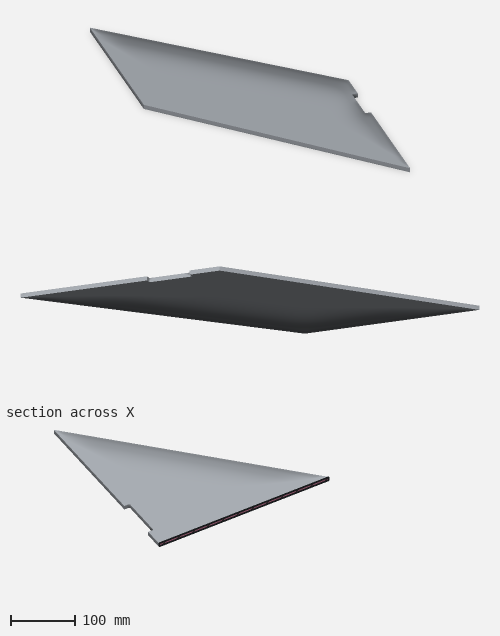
import cadquery as cq

LENGTH = 633.95
DEPTH = 330.7
THICKNESS = 7.0

FRONT_EDGE = 294.0
BACK_EDGE = 335.5
BACK_LEFT_X = LENGTH - BACK_EDGE

NOTCH_OFFSET = 50.5
NOTCH_WIDTH = 72.0
NOTCH_DEPTH = 9.5
NOTCH_CORNER_RADIUS = 2.0


def make_plate():
    """Flat four-sided plate with parallel front and back edges and slanted sides."""
    corners = [
        (0, 0),
        (FRONT_EDGE, 0),
        (LENGTH, DEPTH),
        (BACK_LEFT_X, DEPTH),
    ]
    return cq.Workplane("XY").polyline(corners).close().extrude(THICKNESS)


def make_notch_cutter():
    """Full-thickness block whose two inner corners are rounded."""
    block = cq.Workplane("XY").box(NOTCH_WIDTH, NOTCH_DEPTH, THICKNESS, centered=False)
    block = block.edges("|Z and <Y").fillet(NOTCH_CORNER_RADIUS)
    return block.translate((BACK_LEFT_X + NOTCH_OFFSET, DEPTH - NOTCH_DEPTH, 0))


result = make_plate().cut(make_notch_cutter())